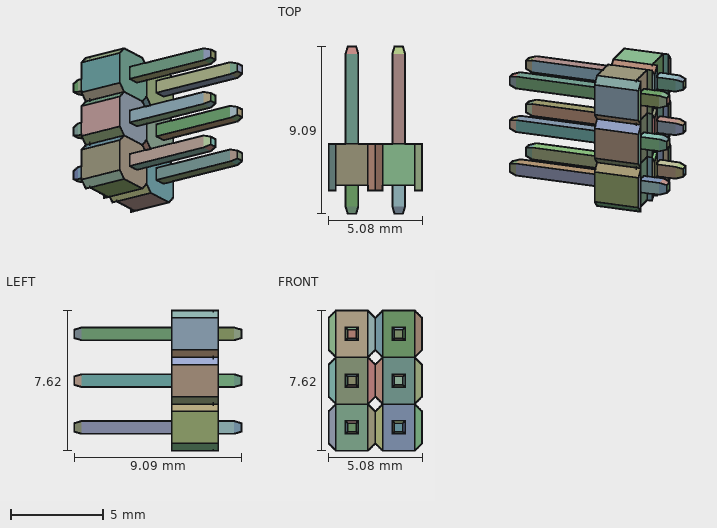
import cadquery as cq

columns = 2
rows = 3
block_height = 7.62
pin_length = 9.09

pitch = block_height / rows
cell_depth = pitch
cell_chamfer = 0.4
channel_width = pitch - 2 * cell_chamfer
channel_depth = 0.28

pin_width = 0.7
tip_width = 0.46
tip_length = 0.4
pin_front_reach = 1.26
pin_front_y = -pin_front_reach
pin_back_y = pin_front_y + pin_length


def make_cell():
    """Housing cell centred on the Y axis, its front rim at Y = 0."""
    block = (
        cq.Workplane("XY")
        .box(pitch, cell_depth, pitch, centered=(True, False, True))
        .edges("|Y")
        .chamfer(cell_chamfer)
    )
    channel = cq.Workplane("XY").box(channel_width, channel_depth, pitch, centered=(True, False, True))
    return block.cut(channel)


def make_tip(base_y, end_y):
    """Tapered tip from the full pin section at base_y to the small square at end_y."""
    return (
        cq.Workplane("XZ", origin=(0, base_y, 0))
        .rect(pin_width, pin_width)
        .workplane(offset=base_y - end_y)
        .rect(tip_width, tip_width)
        .loft(ruled=True)
    )


def make_pin():
    """Pin on the Y axis with a tapered tip at both ends."""
    shank_front_y = pin_front_y + tip_length
    shank_back_y = pin_back_y - tip_length
    shank = (
        cq.Workplane("XY", origin=(0, shank_front_y, 0))
        .box(pin_width, shank_back_y - shank_front_y, pin_width, centered=(True, False, True))
    )
    front_tip = make_tip(shank_front_y, pin_front_y)
    back_tip = make_tip(shank_back_y, pin_back_y)
    return shank.union(front_tip).union(back_tip)


def make_contact_unit(column, row):
    """One housing cell with its pin, moved to its place in the grid."""
    x = (column - (columns - 1) / 2) * pitch
    z = (row - (rows - 1) / 2) * pitch
    return make_cell().union(make_pin()).translate((x, 0, z))


contact_units = []
for column in range(columns):
    for row in range(rows):
        contact_units.append(make_contact_unit(column, row).solids().val())

result = cq.Compound.makeCompound(contact_units)